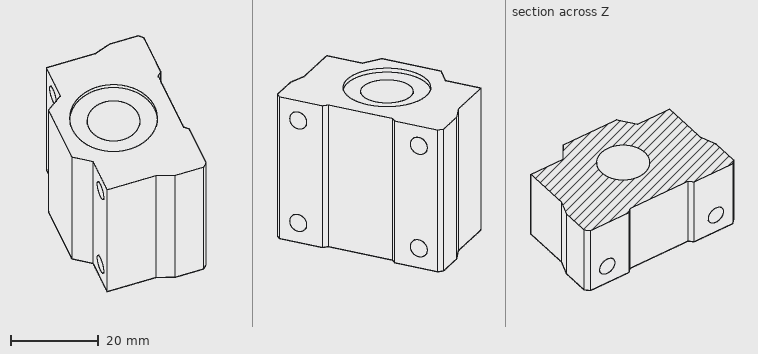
import cadquery as cq

WIDTH = 42.0
DEPTH = 28.0
HEIGHT = 36.0

EDGE_CHAMFER = 1.0
RELIEF_DEPTH = 1.0
RELIEF_FLOOR_WIDTH = 16.25
RELIEF_MOUTH_WIDTH = RELIEF_FLOOR_WIDTH + 2 * RELIEF_DEPTH
BODY_WIDTH = 39.0
FLANGE_DEPTH = 8.0
FLANGE_TAPER_END = 12.0
SHOULDER_DEPTH = 24.0
RIB_ROOT_WIDTH = 21.0
RIB_FACE_WIDTH = 15.0

BORE_CENTRE_DEPTH = 15.0
BORE_DIAMETER = 12.0
END_RECESS_DIAMETER = 20.0
END_RECESS_DEPTH = 1.0

HOLE_DIAMETER = 4.3
HOLE_SPACING_X = 30.5
HOLE_SPACING_Z = 26.0


def block():
    """Extrude the mirrored cross-section; the mounting face lies on Y = 0."""
    half_outline = [
        (0, -RELIEF_DEPTH),
        (RELIEF_FLOOR_WIDTH / 2, -RELIEF_DEPTH),
        (RELIEF_MOUTH_WIDTH / 2, 0),
        (WIDTH / 2 - EDGE_CHAMFER, 0),
        (WIDTH / 2, -EDGE_CHAMFER),
        (WIDTH / 2, -FLANGE_DEPTH),
        (BODY_WIDTH / 2, -FLANGE_TAPER_END),
        (BODY_WIDTH / 2, -SHOULDER_DEPTH),
        (RIB_ROOT_WIDTH / 2, -SHOULDER_DEPTH),
        (RIB_FACE_WIDTH / 2, -DEPTH),
        (0, -DEPTH),
    ]
    return cq.Workplane("XY").polyline(half_outline).mirrorY().extrude(HEIGHT)


def bore_cylinder(diameter, bottom, height):
    """Cylinder on the shaft axis, starting at Z = bottom."""
    return (
        cq.Workplane("XY", origin=(0, -BORE_CENTRE_DEPTH, bottom))
        .circle(diameter / 2)
        .extrude(height)
    )


def mounting_holes():
    """Four cylinders running through the full depth of the block."""
    return (
        cq.Workplane("XZ", origin=(0, 0, HEIGHT / 2))
        .rarray(HOLE_SPACING_X, HOLE_SPACING_Z, 2, 2)
        .circle(HOLE_DIAMETER / 2)
        .extrude(DEPTH)
    )


result = block().cut(bore_cylinder(BORE_DIAMETER, 0, HEIGHT))
for recess_bottom in (0, HEIGHT - END_RECESS_DEPTH):
    result = result.cut(bore_cylinder(END_RECESS_DIAMETER, recess_bottom, END_RECESS_DEPTH))
result = result.cut(mounting_holes())